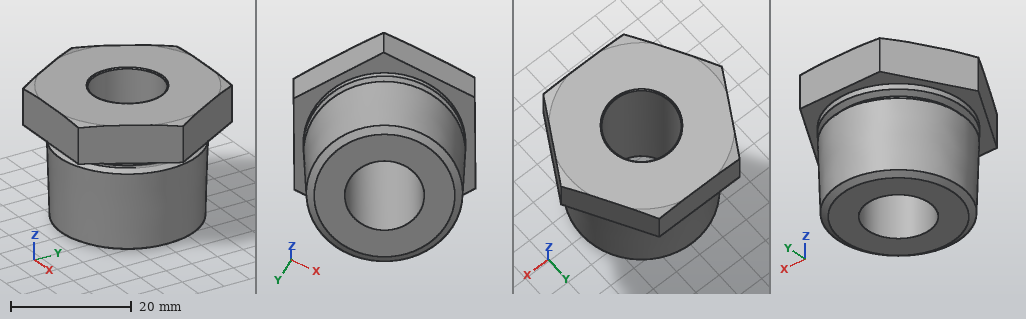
import cadquery as cq
import math

axis_start = (0, 0, 0)
axis_end = (0, 1, 0)

total_height = 24.5
hex_height = 7.0
hex_across_flats = 30.0
hex_bottom = total_height - hex_height

hex_corner_radius = hex_across_flats / math.sqrt(3)
hex_face_radius = 15.4
hex_chamfer_angle = 10.0
cone_overhang = 1.0

collar_radius = 13.45
collar_height = 1.1
groove_wall_angle = 30.0
groove_fillet = 0.25

thread_top = 14.7
thread_top_radius = 13.38
taper_per_height = 1 / 32
end_chamfer_height = 0.75
end_chamfer_angle = 60.0

bore_diameter = 13.16
bore_chamfer = 0.22


def hexagon_head():
    """Hexagonal prism with its top corners cut back by a shallow cone."""
    prism = (
        cq.Workplane("XY")
        .workplane(offset=hex_bottom)
        .polygon(6, 2 * hex_corner_radius)
        .extrude(hex_height)
    )
    cone_radius = hex_corner_radius + cone_overhang
    cone_drop = (cone_radius - hex_face_radius) * math.tan(math.radians(hex_chamfer_angle))
    envelope = (
        cq.Workplane("XZ")
        .moveTo(0, hex_bottom)
        .lineTo(cone_radius, hex_bottom)
        .lineTo(cone_radius, total_height - cone_drop)
        .lineTo(hex_face_radius, total_height)
        .lineTo(0, total_height)
        .close()
        .revolve(360, axis_start, axis_end)
    )
    return prism.intersect(envelope)


def shank():
    """Turned collar, rounded V groove and tapered thread body."""
    collar_bottom = hex_bottom - collar_height
    wall_slope = math.tan(math.radians(groove_wall_angle))
    groove_width = collar_bottom - thread_top
    groove_root_radius = (collar_radius + thread_top_radius - groove_width / wall_slope) / 2
    groove_root_z = collar_bottom - (collar_radius - groove_root_radius) * wall_slope
    chamfer_radius = thread_top_radius - (thread_top - end_chamfer_height) * taper_per_height
    end_radius = chamfer_radius - end_chamfer_height * math.tan(math.radians(end_chamfer_angle))
    body = (
        cq.Workplane("XZ")
        .moveTo(0, 0)
        .lineTo(end_radius, 0)
        .lineTo(chamfer_radius, end_chamfer_height)
        .lineTo(thread_top_radius, thread_top)
        .lineTo(groove_root_radius, groove_root_z)
        .lineTo(collar_radius, collar_bottom)
        .lineTo(collar_radius, hex_bottom)
        .lineTo(0, hex_bottom)
        .close()
        .revolve(360, axis_start, axis_end)
    )
    root_edge = cq.selectors.BoxSelector(
        (-collar_radius, -collar_radius, groove_root_z - groove_fillet),
        (collar_radius, collar_radius, groove_root_z + groove_fillet),
    )
    return body.edges("%CIRCLE").edges(root_edge).fillet(groove_fillet)


def bore():
    """Through bore with a small 45 degree chamfer at the top."""
    radius = bore_diameter / 2
    return (
        cq.Workplane("XZ")
        .moveTo(0, 0)
        .lineTo(radius, 0)
        .lineTo(radius, total_height - bore_chamfer)
        .lineTo(radius + bore_chamfer, total_height)
        .lineTo(0, total_height)
        .close()
        .revolve(360, axis_start, axis_end)
    )


result = hexagon_head().union(shank()).cut(bore())